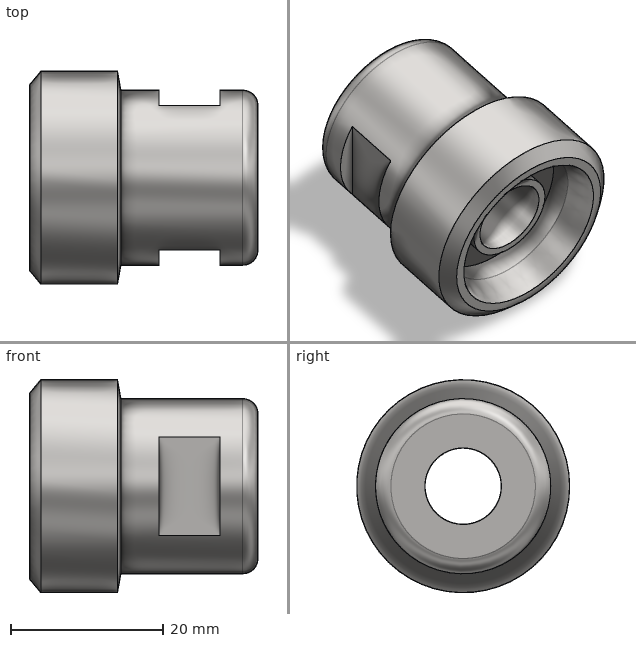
import cadquery as cq

total_length = 30.0
collar_length = 12.0

collar_radius = 28.0 / 2
front_chamfer_length = 1.5
front_chamfer_height = 1.8
shoulder_taper_length = 0.45

body_radius = 23.0 / 2
end_fillet = 2.0

flat_start = 17.0
flat_width = 7.98
flat_distance = 19.02

mouth_radius = 21.95 / 2
socket_radius = 19.8 / 2
mouth_depth = 4.0
socket_depth = 7.0
tube_radius = 12.0 / 2
bore_radius = 10.0 / 2
tube_start = mouth_depth


def turned_body():
    """Revolve the half profile, bore and socket included, about the X axis."""
    profile = (
        cq.Workplane("XY")
        .moveTo(0, mouth_radius)
        .lineTo(0, collar_radius - front_chamfer_height)
        .lineTo(front_chamfer_length, collar_radius)
        .lineTo(collar_length - shoulder_taper_length, collar_radius)
        .lineTo(collar_length, body_radius)
        .lineTo(total_length - end_fillet, body_radius)
        .radiusArc((total_length, body_radius - end_fillet), end_fillet)
        .lineTo(total_length, bore_radius)
        .lineTo(tube_start, bore_radius)
        .lineTo(tube_start, tube_radius)
        .lineTo(socket_depth, tube_radius)
        .lineTo(socket_depth, socket_radius)
        .lineTo(mouth_depth, socket_radius)
        .close()
    )
    return profile.revolve(360, (0, 0, 0), (1, 0, 0))


def flat_cutter(side):
    """Block that cuts one flat; side is +1 or -1 along Y."""
    cutter_size = 2 * body_radius
    center_y = side * (flat_distance + cutter_size) / 2
    center_x = flat_start + flat_width / 2
    return (
        cq.Workplane("XY")
        .box(flat_width, cutter_size, cutter_size)
        .translate((center_x, center_y, 0))
    )


result = turned_body()
for side in (-1, 1):
    result = result.cut(flat_cutter(side))